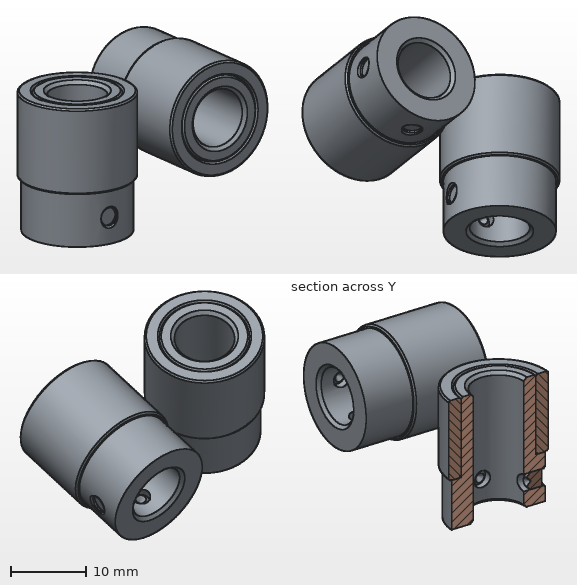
import cadquery as cq

OVERALL_SIDE = 21.5
OVERALL_DEPTH = 35.0

COLLAR_DIAMETER = 15.0
COLLAR_LENGTH = 7.5
SPIGOT_DIAMETER = 12.0
BORE_DIAMETER = 8.0
BORE_CHAMFER = 0.5

SLEEVE_DIAMETER = 16.0
SLEEVE_LENGTH = 12.0
EDGE_CHAMFER = 0.25

SCREW_DIAMETER = 2.5
CUP_DIAMETER = 1.4
COUNTERSINK_DIAMETER = 3.0
SCREW_RECESS = 0.55
TIP_SETBACK = 0.45
SCREW_ANGLES = [0, 90]

COLLAR_RADIUS = COLLAR_DIAMETER / 2
SPIGOT_RADIUS = SPIGOT_DIAMETER / 2
BORE_RADIUS = BORE_DIAMETER / 2
SLEEVE_RADIUS = SLEEVE_DIAMETER / 2
SCREW_RADIUS = SCREW_DIAMETER / 2
COUNTERSINK_RADIUS = COUNTERSINK_DIAMETER / 2
CUP_RADIUS = CUP_DIAMETER / 2
TOTAL_LENGTH = COLLAR_LENGTH + SLEEVE_LENGTH
SCREW_HEIGHT = COLLAR_LENGTH / 2

SCREW_TIP = BORE_RADIUS + TIP_SETBACK
POINT_END = SCREW_TIP + SCREW_RADIUS - CUP_RADIUS
COUNTERSINK_START = COLLAR_RADIUS - (COUNTERSINK_RADIUS - SCREW_RADIUS)
SCREW_OUTER_END = COLLAR_RADIUS - SCREW_RECESS
CUP_BOTTOM = SCREW_TIP + CUP_RADIUS

LYING_CENTER_Y = OVERALL_DEPTH - SLEEVE_DIAMETER
LYING_CENTER_Z = OVERALL_SIDE - SLEEVE_RADIUS
LYING_START_X = SLEEVE_RADIUS - OVERALL_SIDE


def revolve_about_z(outline):
    """Solid of revolution from (radius, height) points."""
    return cq.Workplane("XZ").polyline(outline).close().revolve(360, (0, 0), (0, 1))


def revolve_about_screw_axis(outline, angle):
    """Solid of revolution from (distance from hub axis, screw radius) points, turned to its angle."""
    solid = cq.Workplane("XZ").polyline(outline).close().revolve(360, (0, 0), (1, 0))
    return solid.rotate((0, 0, 0), (0, 0, 1), angle).translate((0, 0, SCREW_HEIGHT))


def make_screw_hole(angle):
    """Hole from the bore out through the collar, countersunk at the collar surface."""
    outline = [
        (0, 0),
        (0, SCREW_RADIUS),
        (COUNTERSINK_START, SCREW_RADIUS),
        (COLLAR_RADIUS, COUNTERSINK_RADIUS),
        (COLLAR_RADIUS, 0),
    ]
    return revolve_about_screw_axis(outline, angle)


def make_set_screw(angle):
    outline = [
        (CUP_BOTTOM, 0),
        (SCREW_TIP, CUP_RADIUS),
        (POINT_END, SCREW_RADIUS),
        (SCREW_OUTER_END, SCREW_RADIUS),
        (SCREW_OUTER_END, 0),
    ]
    return revolve_about_screw_axis(outline, angle)


def make_hub():
    hub = revolve_about_z([
        (BORE_RADIUS + BORE_CHAMFER, 0),
        (COLLAR_RADIUS, 0),
        (COLLAR_RADIUS, COLLAR_LENGTH),
        (SPIGOT_RADIUS, COLLAR_LENGTH),
        (SPIGOT_RADIUS, TOTAL_LENGTH - EDGE_CHAMFER),
        (SPIGOT_RADIUS - EDGE_CHAMFER, TOTAL_LENGTH),
        (BORE_RADIUS + BORE_CHAMFER, TOTAL_LENGTH),
        (BORE_RADIUS, TOTAL_LENGTH - BORE_CHAMFER),
        (BORE_RADIUS, BORE_CHAMFER),
    ])
    for angle in SCREW_ANGLES:
        hub = hub.cut(make_screw_hole(angle))
    return hub


def make_sleeve():
    ring = cq.Workplane("XY", origin=(0, 0, COLLAR_LENGTH)).circle(SLEEVE_RADIUS).circle(SPIGOT_RADIUS)
    return ring.extrude(SLEEVE_LENGTH).faces("<Z or >Z").chamfer(EDGE_CHAMFER)


def make_coupling():
    """Bodies of one coupling, standing on the XY plane with its axis along Z."""
    set_screws = [make_set_screw(angle) for angle in SCREW_ANGLES]
    return [make_hub(), make_sleeve(), *set_screws]


def lay_along_x(body):
    """Turn a standing body so that its axis points along +X, then move it behind the standing coupling."""
    turned = body.rotate((0, 0, 0), (0, 1, 0), 90)
    return turned.translate((LYING_START_X, LYING_CENTER_Y, LYING_CENTER_Z))


standing_bodies = make_coupling()
lying_bodies = [lay_along_x(body) for body in make_coupling()]

result = cq.Compound.makeCompound([body.val() for body in standing_bodies + lying_bodies])